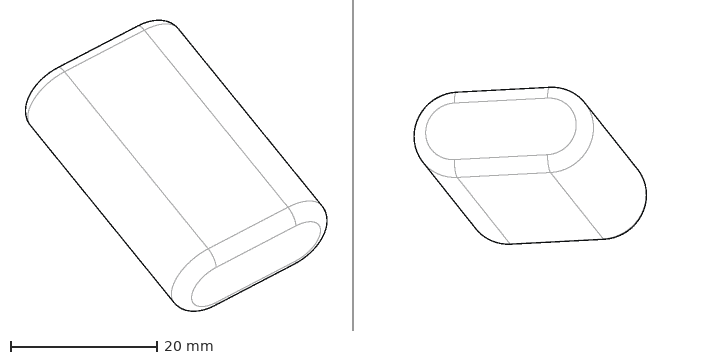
import cadquery as cq

length = 40.0
width = 25.0
height = 12.0
end_fillet = 2.0

bar = cq.Workplane("YZ").slot2D(width, height).extrude(length / 2, both=True)

result = bar.faces("<X or >X").edges().fillet(end_fillet)